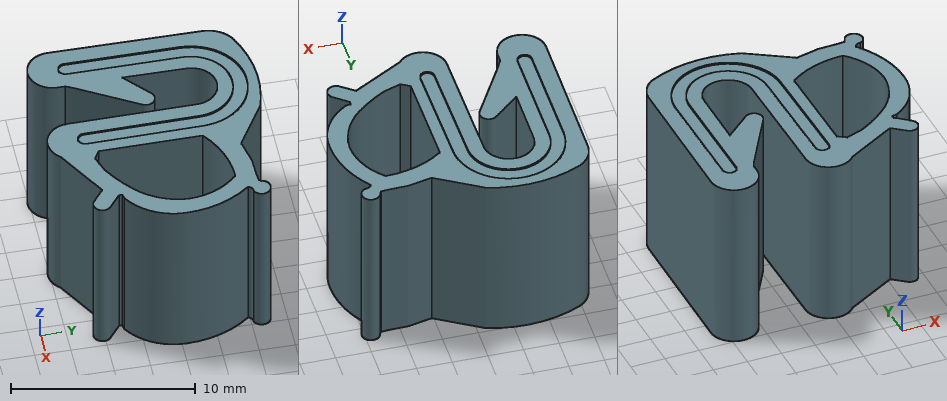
import cadquery as cq

width = 13.51
length = 10.0

leg_radius = 1.358
right_leg_x = 6.92
gap_x = 4.06
gap_radius = 1.4
gap_center_y = 8.51
left_side_top = 9.92

bulb_widest_y = 6.35
cavity_right_x = 12.48
cavity_widest_y = 6.65

groove_center_y = 8.47
groove_inner_radius = 2.3
groove_width = 0.8
groove_outer_radius = groove_inner_radius + groove_width
groove_end_radius = groove_width / 2
groove_end_y = 2.08
left_groove_end_x = 1.4
right_groove_end_x = 6.86
groove_depth = 0.1


def make_body():
    """Extrude the outer outline, starting up the left side and going clockwise."""
    outline = cq.Workplane("XY").moveTo(0, leg_radius).lineTo(0, left_side_top)
    outline = (
        outline.threePointArc((0.25, 10.82), (0.84, 11.4))
        .threePointArc((3.58, 12.17), (6.25, 11.86))
        .lineTo(8.86, 10.3)
    )
    outline = (
        outline.lineTo(10.25, 10.6)
        .lineTo(11.39, 10.63)
        .lineTo(11.8, 10.67)
        .lineTo(11.89, 10.78)
        .threePointArc((12.74, 11.08), (12.58, 10.24))
        .threePointArc((12.33, 10.17), (12.21, 10.0))
    )
    outline = (
        outline.threePointArc((13.19, 8.27), (width, bulb_widest_y))
        .threePointArc((13.02, 4.53), (11.75, 3.25))
        .lineTo(11.47, 3.2)
        .lineTo(11.47, 3.03)
    )
    outline = (
        outline.lineTo(12.21, 2.43)
        .threePointArc((12.35, 1.7), (11.73, 1.57))
        .lineTo(10.9, 2.2)
        .lineTo(7.98, 0.51)
    )
    outline = (
        outline.threePointArc((right_leg_x, 0), (right_leg_x - leg_radius, leg_radius))
        .lineTo(gap_x + gap_radius, gap_center_y)
        .threePointArc((gap_x, gap_center_y + gap_radius), (gap_x - gap_radius, gap_center_y))
    )
    outline = (
        outline.lineTo(gap_x - gap_radius, 4.96)
        .lineTo(4.13, 6.27)
        .threePointArc((4.8, 6.28), (4.9, 5.63))
        .lineTo(2.9, 2.2)
        .lineTo(2 * leg_radius, 1.81)
    )
    outline = (
        outline.lineTo(2 * leg_radius, leg_radius)
        .threePointArc((leg_radius, 0), (0, leg_radius))
        .close()
    )
    return outline.extrude(length)


def make_cavity():
    """Bulb cavity running the full length of the part."""
    return (
        cq.Workplane("XY")
        .moveTo(7.95, 2.61)
        .lineTo(7.88, 8.36)
        .threePointArc((9.43, 9.2), (11.23, 9.5))
        .threePointArc((12.08, 8.36), (cavity_right_x, cavity_widest_y))
        .threePointArc((12.08, 5.11), (11.17, 3.9))
        .threePointArc((10.35, 3.23), (9.43, 2.65))
        .lineTo(8.45, 2.31)
        .close()
        .extrude(length)
    )


def make_wire_groove():
    """Shallow U-shaped groove around the gap, with rounded ends."""
    end_tip_y = groove_end_y - groove_end_radius
    return (
        cq.Workplane("XY", origin=(0, 0, length - groove_depth))
        .moveTo(left_groove_end_x - groove_end_radius, groove_end_y)
        .lineTo(gap_x - groove_outer_radius, groove_center_y)
        .threePointArc(
            (gap_x, groove_center_y + groove_outer_radius),
            (gap_x + groove_outer_radius, groove_center_y),
        )
        .lineTo(right_groove_end_x + groove_end_radius, groove_end_y)
        .threePointArc(
            (right_groove_end_x, end_tip_y),
            (right_groove_end_x - groove_end_radius, groove_end_y),
        )
        .lineTo(gap_x + groove_inner_radius, groove_center_y)
        .threePointArc(
            (gap_x, groove_center_y + groove_inner_radius),
            (gap_x - groove_inner_radius, groove_center_y),
        )
        .lineTo(left_groove_end_x + groove_end_radius, groove_end_y)
        .threePointArc(
            (left_groove_end_x, end_tip_y),
            (left_groove_end_x - groove_end_radius, groove_end_y),
        )
        .close()
        .extrude(groove_depth)
    )


result = make_body().cut(make_cavity()).cut(make_wire_groove())